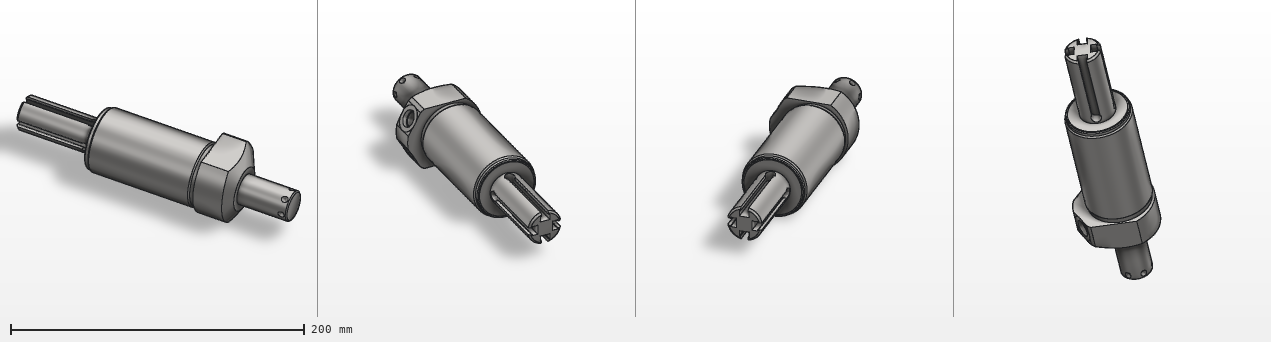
import cadquery as cq
import math

TOTAL_LENGTH = 206.55

OVERSHOOT = 1.0

SPINDLE_RADIUS = 12.7
SPINDLE_CHAMFER = 1.4

SLOT_COUNT = 4
SLOT_FLOOR_RADIUS = 5.7
SLOT_LIP_RADIUS = 9.8
SLOT_MOUTH_WIDTH = 5.5
SLOT_WIDTH = 7.1
SLOT_POCKET_X = 52.8

HOUSING_START_X = 57.4
HOUSING_RADIUS = 23.5
NOSE_FACE_RADIUS = 21.8
NOSE_RECESS_RADIUS = 20.9
NOSE_RECESS_DEPTH = 0.2
NOSE_RADIUS = 22.45
NOSE_CHAMFER_LENGTH = 0.7
NOSE_END_X = 60.3
NECK_RADIUS = NOSE_RADIUS
NECK_START_X = 138.2

HEAD_START_X = 141.6
HEAD_END_X = 168.6
HEAD_DIAMETER = 57.15
HEAD_RADIUS = HEAD_DIAMETER / 2
HEAD_OFFSET_Y = 4.2
HEAD_HEIGHT = 47.37
HEAD_BACK_RADIUS = 15.9
HEAD_CONE_ANGLE = 30

PORT_X = 150.8
PORT_ANGLE = 30
PORT_FLAT_DISTANCE = 27.0
PORT_COUNTERBORE_DIAMETER = 12.2
PORT_COUNTERBORE_DEPTH = 3.5
PORT_DIAMETER = 10.6
PORT_DEPTH = 14.0
SPOT_DIAMETER = 19.05
SPOT_DEPTH = 0.2

SHANK_RADIUS = 11.1
SHANK_CHAMFER = 0.9
DIMPLE_COUNT = 6
DIMPLE_X = 202.5
DIMPLE_DIAMETER = 4.8
DIMPLE_CONE_ANGLE = 90


def x_cylinder(radius, start_x, end_x):
    """Cylinder along X, centred on the tool axis."""
    return cq.Workplane("YZ").workplane(offset=start_x).circle(radius).extrude(end_x - start_x)


def make_spindle():
    spindle = x_cylinder(SPINDLE_RADIUS, 0, HOUSING_START_X + NOSE_RECESS_DEPTH)
    spindle = spindle.faces("<X").chamfer(SPINDLE_CHAMFER)
    lip_height = SPINDLE_RADIUS + OVERSHOOT - SLOT_FLOOR_RADIUS
    slot_height = SLOT_LIP_RADIUS - SLOT_FLOOR_RADIUS
    floor = cq.Workplane("XY").workplane(offset=SLOT_FLOOR_RADIUS)
    length = SLOT_POCKET_X + OVERSHOOT
    middle = SLOT_POCKET_X - length / 2
    mouth = floor.center(middle, 0).rect(length, SLOT_MOUTH_WIDTH).extrude(lip_height)
    undercut = floor.center(middle, 0).rect(length, SLOT_WIDTH).extrude(slot_height)
    pocket = floor.center(SLOT_POCKET_X, 0).circle(SLOT_WIDTH / 2).extrude(lip_height)
    slot = mouth.union(undercut).union(pocket)
    for index in range(SLOT_COUNT):
        angle = index * 360 / SLOT_COUNT
        spindle = spindle.cut(slot.rotate((0, 0, 0), (1, 0, 0), angle))
    return spindle


def make_housing():
    bevel = HOUSING_RADIUS - NECK_RADIUS
    outline = [
        (HOUSING_START_X + NOSE_RECESS_DEPTH, 0),
        (HOUSING_START_X + NOSE_RECESS_DEPTH, NOSE_RECESS_RADIUS),
        (HOUSING_START_X, NOSE_RECESS_RADIUS),
        (HOUSING_START_X, NOSE_FACE_RADIUS),
        (HOUSING_START_X + NOSE_CHAMFER_LENGTH, NOSE_RADIUS),
        (NOSE_END_X, NOSE_RADIUS),
        (NOSE_END_X + bevel, HOUSING_RADIUS),
        (NECK_START_X - bevel, HOUSING_RADIUS),
        (NECK_START_X, NECK_RADIUS),
        (HEAD_START_X, NECK_RADIUS),
        (HEAD_START_X, 0),
    ]
    return cq.Workplane("XY").polyline(outline).close().revolve(360, (0, 0, 0), (1, 0, 0))


def make_head():
    length = HEAD_END_X - HEAD_START_X
    plane = cq.Workplane("YZ").workplane(offset=HEAD_START_X)
    head = plane.center(HEAD_OFFSET_Y, 0).circle(HEAD_RADIUS).extrude(length)
    flats = plane.center(HEAD_OFFSET_Y, 0).rect(HEAD_DIAMETER, HEAD_HEIGHT).extrude(length)
    head = head.intersect(flats)

    envelope_radius = HEAD_OFFSET_Y + HEAD_RADIUS + OVERSHOOT
    cone_run = (envelope_radius - HEAD_BACK_RADIUS) * math.tan(math.radians(HEAD_CONE_ANGLE))
    envelope = [
        (HEAD_START_X, 0),
        (HEAD_START_X, envelope_radius),
        (HEAD_END_X - cone_run, envelope_radius),
        (HEAD_END_X, HEAD_BACK_RADIUS),
        (HEAD_END_X, 0),
    ]
    cone = cq.Workplane("XY").polyline(envelope).close().revolve(360, (0, 0, 0), (1, 0, 0))
    head = head.intersect(cone)

    for side in (1, -1):
        head = head.cut(port_tool(side))
    return head


def port_tool(side):
    """Flat, spot face and stepped port; side is +1 above the XY plane and -1 below it."""
    size = HEAD_DIAMETER
    face = cq.Workplane("XY")
    tool = face.rect(2 * size, size).extrude(size)
    for diameter, depth in (
        (SPOT_DIAMETER, SPOT_DEPTH),
        (PORT_COUNTERBORE_DIAMETER, PORT_COUNTERBORE_DEPTH),
        (PORT_DIAMETER, PORT_DEPTH),
    ):
        tool = tool.union(face.circle(diameter / 2).extrude(-depth))
    tool = tool.translate((PORT_X, 0, PORT_FLAT_DISTANCE))
    turn_from_z = 90 - side * PORT_ANGLE
    tool = tool.rotate((0, 0, 0), (1, 0, 0), -turn_from_z)
    return tool.translate((0, HEAD_OFFSET_Y, 0))


def make_shank():
    shank = x_cylinder(SHANK_RADIUS, HEAD_END_X, TOTAL_LENGTH)
    shank = shank.faces(">X").chamfer(SHANK_CHAMFER)
    slope = math.tan(math.radians(DIMPLE_CONE_ANGLE / 2))
    depth = DIMPLE_DIAMETER / 2 / slope
    height = depth + OVERSHOOT
    cone = cq.Workplane(cq.Solid.makeCone(0, height * slope, height))
    cone = cone.translate((DIMPLE_X, 0, SHANK_RADIUS - depth))
    for index in range(DIMPLE_COUNT):
        angle = 90 + index * 360 / DIMPLE_COUNT
        shank = shank.cut(cone.rotate((0, 0, 0), (1, 0, 0), angle))
    return shank


result = make_spindle().union(make_housing()).union(make_head()).union(make_shank())